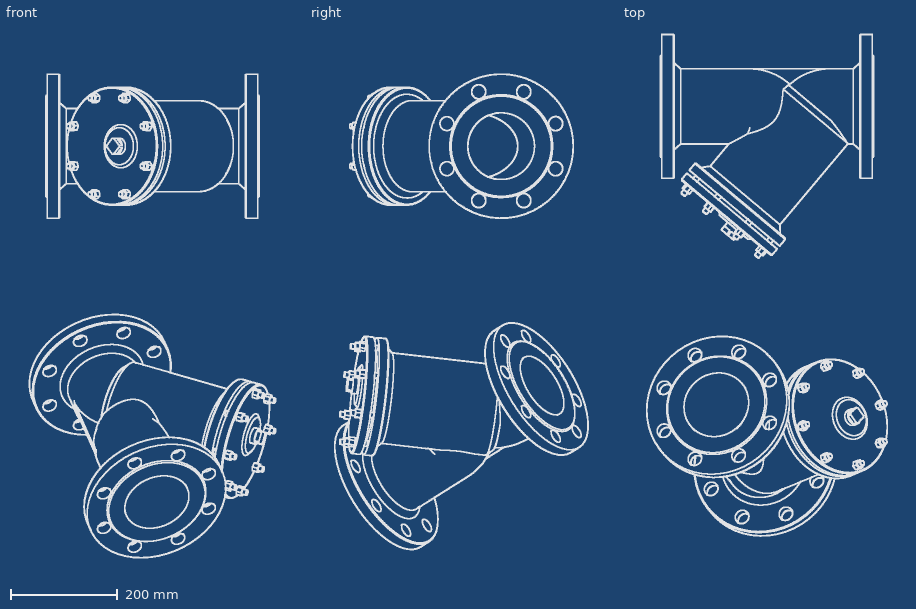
import cadquery as cq
import math

face_to_face = 400.0
pipe_od = 141.0
pipe_bore = 125.0
flange_od = 270.0
flange_thickness = 23.0
flange_edge_chamfer = 1.5
raised_face_height = 3.0
raised_face_base_od = 192.5
raised_face_od = 187.5
neck_base_od = 163.5
neck_length = 12.5
flange_hole_diameter = 26.0
flange_hole_circle = 220.3
bolt_count = 8

branch_angle = 50.0
inlet_angle = 90.0 - branch_angle
bend_radius = 39.8
inlet_bend_x = -32.0
outlet_bend_x = 117.3
web_thickness = 10.0

branch_od = 171.0
branch_bevel_length = 12.5
branch_bevel_end_od = 146.5
branch_start = 19.3
branch_flange_od = 221.0
branch_neck_base_od = 194.5
branch_neck_length = 13.0
branch_flange_back = 230.5
branch_flange_front = 248.5
cover_back = 255.5
cover_front = 272.0
rim_chamfer = 1.5

drain_offset = 22.0
boss_base_diameter = 81.0
boss_top_diameter = 69.5
boss_height = 4.5
plug_diameter = 30.0
plug_collar_height = 9.2
plug_square_width = 23.5
plug_square_height = 9.2
plug_square_turn = 45.0

stud_diameter = 10.0
stud_tip_diameter = 8.5
stud_circle = 194.7
stud_end = 291.5
stud_depth_in_flange = 12.5
nut_sides = 6
nut_across_flats = 15.0
nut_height = 10.5

half_length = face_to_face / 2
pipe_radius = pipe_od / 2
half_bolt_step = 180.0 / bolt_count

inlet_tangent = bend_radius * math.tan(math.radians(inlet_angle / 2))
outlet_tangent = bend_radius * math.tan(math.radians(branch_angle / 2))
inlet_corner_x = inlet_bend_x + inlet_tangent
branch_origin_x = outlet_bend_x - outlet_tangent

axis_x = math.cos(math.radians(branch_angle))
axis_y = math.sin(math.radians(branch_angle))

branch_plane = cq.Plane(origin=(branch_origin_x, 0, 0), xDir=(-axis_x, -axis_y, 0), normal=(0, 0, 1))
inlet_plane = cq.Plane(origin=(inlet_corner_x, 0, 0), xDir=(axis_y, -axis_x, 0), normal=(0, 0, 1))
inlet_length = (branch_origin_x - inlet_corner_x) * axis_y


def turned(plane, stations):
    """Solid of revolution about the plane's local X, from (position, diameter) stations."""
    profile = [(position, diameter / 2) for position, diameter in stations]
    first = (stations[0][0], 0)
    last = (stations[-1][0], 0)
    return cq.Workplane(plane).polyline([first] + profile + [last]).close().revolve(360, (0, 0), (1, 0))


def rod(plane, start, end, diameter):
    return turned(plane, [(start, diameter), (end, diameter)])


def elbow(bend_x, angle, diameter, axis_sign):
    """Tight bend toward -Y; the section stops at the bend axis, which lies inside the pipe."""
    radius = diameter / 2
    half_chord = math.sqrt(radius**2 - bend_radius**2)
    return (
        cq.Workplane("YZ", origin=(bend_x, 0, 0))
        .moveTo(-bend_radius, -half_chord)
        .threePointArc((radius, 0), (-bend_radius, half_chord))
        .close()
        .revolve(angle, (-bend_radius, 0), (-bend_radius, axis_sign))
    )


def pipe_run(diameter, branch_end):
    """Inlet pipe, its bend into the side of the branch, the branch line, and the outlet bend and pipe."""
    run = rod(cq.Plane.XY(), -half_length, inlet_bend_x, diameter)
    run = run.union(elbow(inlet_bend_x, inlet_angle, diameter, -1))
    run = run.union(rod(inlet_plane, inlet_tangent, inlet_length, diameter))
    run = run.union(elbow(outlet_bend_x, branch_angle, diameter, 1))
    run = run.union(rod(branch_plane, outlet_tangent, branch_end, diameter))
    return run.union(rod(cq.Plane.XY(), outlet_bend_x, half_length, diameter))


def end_flange():
    """Weld-neck flange at the -X end."""
    front = -half_length + raised_face_height
    back = front + flange_thickness
    flange = turned(cq.Plane.XY(), [
        (-half_length, raised_face_od),
        (front, raised_face_base_od),
        (front, flange_od),
        (back - flange_edge_chamfer, flange_od),
        (back, flange_od - 2 * flange_edge_chamfer),
        (back, neck_base_od),
        (back + neck_length, pipe_od),
    ])
    holes = (
        cq.Workplane("YZ", origin=(-half_length, 0, 0))
        .polarArray(flange_hole_circle / 2, half_bolt_step, 360, bolt_count)
        .circle(flange_hole_diameter / 2)
        .extrude(raised_face_height + flange_thickness)
    )
    return flange.cut(holes)


def web():
    """Flat plate filling the notch between the two bends."""
    reach = bend_radius + pipe_radius
    tip = (outlet_bend_x - reach * axis_y, -bend_radius + reach * axis_x)
    return (
        cq.Workplane("XY", origin=(0, 0, -web_thickness / 2))
        .polyline([(inlet_bend_x, pipe_radius), (outlet_bend_x, pipe_radius), tip])
        .close()
        .extrude(web_thickness)
    )


def branch():
    """Branch tube, its flange, the sealing ring and the cover, turned on one axis."""
    return turned(branch_plane, [
        (branch_start - branch_bevel_length, branch_bevel_end_od),
        (branch_start, branch_od),
        (branch_flange_back - branch_neck_length, branch_od),
        (branch_flange_back, branch_neck_base_od),
        (branch_flange_back, branch_flange_od - 2 * rim_chamfer),
        (branch_flange_back + rim_chamfer, branch_flange_od),
        (branch_flange_front, branch_flange_od),
        (branch_flange_front, branch_od),
        (cover_back, branch_od),
        (cover_back, branch_flange_od),
        (cover_front - rim_chamfer, branch_flange_od),
        (cover_front, branch_flange_od - 2 * rim_chamfer),
    ])


def cross_plane(distance, across=0.0, height=0.0):
    """Plane square to the branch axis: local X is across the branch, local Z outward."""
    return cq.Plane(
        origin=branch_plane.toWorldCoords((distance, across, height)),
        xDir=branch_plane.yDir,
        normal=branch_plane.xDir,
    )


def drain():
    """Off-centre boss on the cover with a plug; the square's corners are turned to the collar size."""
    boss_top = cover_front + boss_height
    collar_top = boss_top + plug_collar_height
    plug_top = collar_top + plug_square_height
    plane = cq.Plane(
        origin=branch_plane.toWorldCoords((0, drain_offset, 0)),
        xDir=branch_plane.xDir,
        normal=(0, 0, 1),
    )
    boss = turned(plane, [(cover_front, boss_base_diameter), (boss_top, boss_top_diameter)])
    square = (
        cq.Workplane(cross_plane(collar_top, drain_offset))
        .transformed(rotate=(0, 0, plug_square_turn))
        .rect(plug_square_width, plug_square_width)
        .extrude(plug_square_height)
    )
    head = rod(plane, collar_top, plug_top, plug_diameter).intersect(square)
    return boss.union(rod(plane, boss_top, collar_top, plug_diameter)).union(head)


def stud_angles():
    return [half_bolt_step * (2 * index + 1) for index in range(bolt_count)]


def stud_plane(distance, angle):
    """Plane at one stud, turned so that its local X points away from the branch axis."""
    across = stud_circle / 2 * math.cos(math.radians(angle))
    height = stud_circle / 2 * math.sin(math.radians(angle))
    return cross_plane(distance, across, height).rotated((0, 0, angle))


def stud_blank(angle):
    """Stud from the bottom of its blind hole to its chamfered tip."""
    start = branch_flange_front - stud_depth_in_flange
    return (
        cq.Workplane(stud_plane(start, angle))
        .circle(stud_diameter / 2)
        .extrude(stud_end - start)
        .faces(cq.selectors.DirectionMinMaxSelector(branch_plane.xDir, True))
        .chamfer((stud_diameter - stud_tip_diameter) / 2)
    )


def cover_bolt(angle):
    """Stud and nut as one solid, the nut seated on the cover with a corner facing outward."""
    nut = (
        cq.Workplane(stud_plane(cover_front, angle))
        .polygon(nut_sides, nut_across_flats, circumscribed=True)
        .extrude(nut_height)
    )
    return stud_blank(angle).union(nut)


def make_housing():
    """Strainer body with its end flanges and cover, bored through from end to end and up to the cover."""
    inlet_flange = end_flange()
    outlet_flange = inlet_flange.mirror("YZ")
    body = pipe_run(pipe_od, branch_start).union(branch()).union(web())
    body = body.union(inlet_flange).union(outlet_flange).union(drain())
    body = body.cut(pipe_run(pipe_bore, cover_back))
    for angle in stud_angles():
        body = body.cut(stud_blank(angle))
    return body


housing = make_housing()
cover_bolts = [cover_bolt(angle) for angle in stud_angles()]

result = cq.Compound.makeCompound([housing.solids().val(), *[bolt.solids().val() for bolt in cover_bolts]])